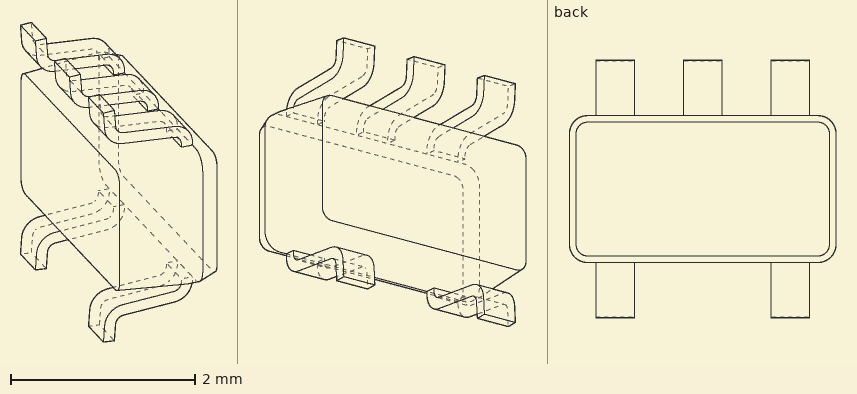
import cadquery as cq
import math


housing_length = 2.9
housing_width = 1.6
corner_radius = 0.2
overall_depth = 1.25
standoff = 0.1
back_taper_depth = 0.2
front_draft = 5.0
back_draft = 20.0

lead_thickness = 0.13
lead_width = 0.42
lead_pitch = 0.95
lead_span = 2.8
bend_inner_radius = 0.1
foot_length = 0.2
lead_tilt = 4.0

band_back_y = overall_depth - back_taper_depth
band_front_y = band_back_y - lead_thickness
front_taper_depth = band_front_y - standoff

half_thickness = lead_thickness / 2
bend_radius = bend_inner_radius + half_thickness
tilt_sin = math.sin(math.radians(lead_tilt))
tilt_cos = math.cos(math.radians(lead_tilt))

root_y = band_back_y - half_thickness
root_z = housing_width / 2
shoulder_drop = bend_radius * (1 - tilt_sin)
shoulder_rise = bend_radius * tilt_cos
ankle_step = bend_radius * (tilt_cos - tilt_sin)

toe_y = half_thickness * tilt_cos
shank_drop = root_y - toe_y - shoulder_drop - ankle_step - foot_length * tilt_sin
shank_length = shank_drop / tilt_cos
toe_z = lead_span / 2 - half_thickness * tilt_sin
stub_length = (
    toe_z - root_z - shoulder_rise - shank_length * tilt_sin - ankle_step - foot_length * tilt_cos
)


def housing_outline(y):
    """Rounded rectangle in the XZ plane at height y; its normal points to -Y."""
    outline = cq.Sketch().rect(housing_length, housing_width).vertices().fillet(corner_radius)
    return cq.Workplane("XZ", origin=(0, y, 0)).placeSketch(outline)


def make_housing():
    """Straight band with a drafted block on its front and another on its back."""
    band = housing_outline(band_back_y).extrude(lead_thickness)
    front = housing_outline(band_front_y).extrude(front_taper_depth, taper=front_draft)
    back = housing_outline(band_back_y).extrude(-back_taper_depth, taper=back_draft)
    return band.union(front).union(back)


def make_lead(x, side):
    """Gull-wing lead centred at x, on the +Z (side = 1) or -Z (side = -1) wall."""
    centreline = (
        cq.Workplane("YZ", origin=(x, root_y, root_z))
        .lineTo(0, stub_length)
        .tangentArcPoint((-shoulder_drop, shoulder_rise))
        .polarLine(shank_length, 180 - lead_tilt)
        .tangentArcPoint((-ankle_step, ankle_step))
        .polarLine(foot_length, 90 + lead_tilt)
    )
    section = cq.Workplane("XY", origin=(x, root_y, root_z)).rect(lead_width, lead_thickness)
    lead = section.sweep(centreline)
    return lead if side > 0 else lead.mirror("XY")


housing = make_housing()

lead_places = {1: (-lead_pitch, 0, lead_pitch), -1: (-lead_pitch, lead_pitch)}
leads = []
for side, places in lead_places.items():
    for x in places:
        leads.append(make_lead(x, side).val())

result = cq.Compound.makeCompound([housing.val(), *leads])